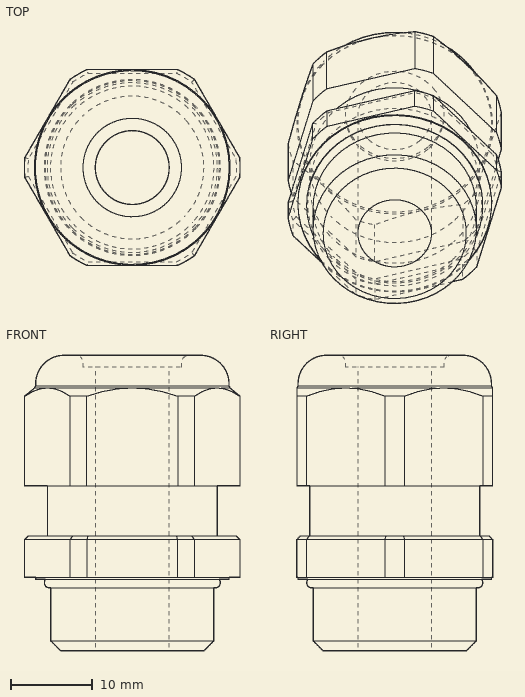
import cadquery as cq
import math

TOTAL_HEIGHT = 36.2

HEX_SIDES = 6
CORNER_RADIUS = 26.43 / 2

THREAD_RADIUS = 20.0 / 2
THREAD_CHAMFER = 1.23

SEAL_RADIUS = 10.8
SEAL_SECTION_RADIUS = 0.65
WASHER_BOTTOM = 8.75
WASHER_RADIUS = 23.7 / 2

BODY_ACROSS_FLATS = 24.0
BODY_HEX_BOTTOM = 9.0
BODY_HEX_TOP = 14.08
BODY_HEX_CHAMFER = 0.47

NECK_RADIUS = 20.8 / 2

CAP_ACROSS_FLATS = 23.95
CAP_HEX_BOTTOM = 20.2
CAP_CONE_BOTTOM = 31.17
CAP_CONE_TOP = 32.18
CAP_CONE_TOP_RADIUS = CAP_ACROSS_FLATS / 2

RIM_BOTTOM = 32.45
DOME_RADIUS = WASHER_RADIUS
DOME_ROUNDING = 3.5

BORE_RADIUS = 9.0 / 2
ENTRY_RADIUS = 12.05 / 2
ENTRY_DEPTH = 1.45
ENTRY_ROUNDING = 0.95


def cylinder(radius, bottom, top):
    """Upright cylinder on the Z axis."""
    return cq.Workplane("XY").workplane(offset=bottom).circle(radius).extrude(top - bottom)


def hexagon(across_flats, bottom, top):
    """Hexagon with flats facing -Y and +Y and its corners turned down to the corner radius."""
    point_diameter = across_flats / math.cos(math.pi / HEX_SIDES)
    prism = (
        cq.Workplane("XY")
        .workplane(offset=bottom)
        .polygon(HEX_SIDES, point_diameter)
        .extrude(top - bottom)
    )
    return prism.intersect(cylinder(CORNER_RADIUS, bottom, top))


def threaded_end():
    end = cylinder(THREAD_RADIUS, 0, BODY_HEX_BOTTOM)
    return end.faces("<Z").chamfer(THREAD_CHAMFER)


def seal():
    """O-ring touching the body hexagon, partly sunk into the round washer face."""
    section_centre = SEAL_RADIUS - SEAL_SECTION_RADIUS
    seal_middle = BODY_HEX_BOTTOM - SEAL_SECTION_RADIUS
    seal_bottom = seal_middle - SEAL_SECTION_RADIUS
    ring = (
        cq.Workplane("XZ")
        .moveTo(0, seal_bottom)
        .lineTo(section_centre, seal_bottom)
        .threePointArc((SEAL_RADIUS, seal_middle), (section_centre, BODY_HEX_BOTTOM))
        .lineTo(0, BODY_HEX_BOTTOM)
        .close()
        .revolve(360, (0, 0, 0), (0, 1, 0))
    )
    return cylinder(WASHER_RADIUS, WASHER_BOTTOM, BODY_HEX_BOTTOM).union(ring)


def body_hexagon():
    prism = hexagon(BODY_ACROSS_FLATS, BODY_HEX_BOTTOM, BODY_HEX_TOP)
    return prism.faces(">Z").chamfer(BODY_HEX_CHAMFER)


def cap_hexagon():
    cone_limit = (
        cq.Workplane("XZ")
        .moveTo(0, CAP_HEX_BOTTOM)
        .lineTo(CORNER_RADIUS, CAP_HEX_BOTTOM)
        .lineTo(CORNER_RADIUS, CAP_CONE_BOTTOM)
        .lineTo(CAP_CONE_TOP_RADIUS, CAP_CONE_TOP)
        .lineTo(0, CAP_CONE_TOP)
        .close()
        .revolve(360, (0, 0, 0), (0, 1, 0))
    )
    prism = hexagon(CAP_ACROSS_FLATS, CAP_HEX_BOTTOM, CAP_CONE_TOP)
    return prism.intersect(cone_limit)


def dome():
    rim_top = TOTAL_HEIGHT - DOME_ROUNDING
    return (
        cq.Workplane("XZ")
        .moveTo(0, CAP_CONE_TOP)
        .lineTo(CAP_CONE_TOP_RADIUS, CAP_CONE_TOP)
        .lineTo(DOME_RADIUS, RIM_BOTTOM)
        .lineTo(DOME_RADIUS, rim_top)
        .radiusArc((DOME_RADIUS - DOME_ROUNDING, TOTAL_HEIGHT), -DOME_ROUNDING)
        .lineTo(0, TOTAL_HEIGHT)
        .close()
        .revolve(360, (0, 0, 0), (0, 1, 0))
    )


def cable_entry():
    """Through bore plus a shallow entry recess with a rounded mouth, as a cutting solid."""
    floor = TOTAL_HEIGHT - ENTRY_DEPTH
    mouth_bottom = TOTAL_HEIGHT - ENTRY_ROUNDING
    recess = (
        cq.Workplane("XZ")
        .moveTo(0, floor)
        .lineTo(ENTRY_RADIUS, floor)
        .lineTo(ENTRY_RADIUS, mouth_bottom)
        .radiusArc((ENTRY_RADIUS + ENTRY_ROUNDING, TOTAL_HEIGHT), ENTRY_ROUNDING)
        .lineTo(0, TOTAL_HEIGHT)
        .close()
        .revolve(360, (0, 0, 0), (0, 1, 0))
    )
    return recess.union(cylinder(BORE_RADIUS, 0, TOTAL_HEIGHT))


gland = cylinder(NECK_RADIUS, BODY_HEX_BOTTOM, CAP_CONE_TOP)
for section in (threaded_end(), seal(), body_hexagon(), cap_hexagon(), dome()):
    gland = gland.union(section)

result = gland.cut(cable_entry())